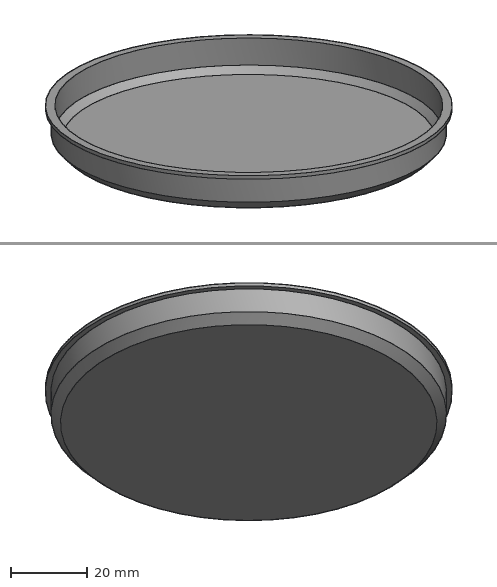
import math

import cadquery as cq

height = 10.5
body_radius = 104 / 2
rim_radius = 107 / 2
rim_thickness = 1.0
wall = 1.0
outer_chamfer = 2.5

cavity_radius = body_radius - wall
inner_chamfer = outer_chamfer - wall * (2 - math.sqrt(2))


def dish_body():
    """Solid disc with a chamfered bottom edge."""
    disc = cq.Workplane("XY").circle(body_radius).extrude(height)
    return disc.faces("<Z").chamfer(outer_chamfer)


def rim():
    """Thin flange flush with the top of the dish."""
    rim_base = cq.Workplane("XY").workplane(offset=height - rim_thickness)
    return rim_base.circle(rim_radius).extrude(rim_thickness)


def cavity():
    """Space inside the dish, chamfered where the wall meets the floor."""
    floor = cq.Workplane("XY").workplane(offset=wall)
    space = floor.circle(cavity_radius).extrude(height - wall)
    return space.faces("<Z").chamfer(inner_chamfer)


result = dish_body().union(rim()).cut(cavity())